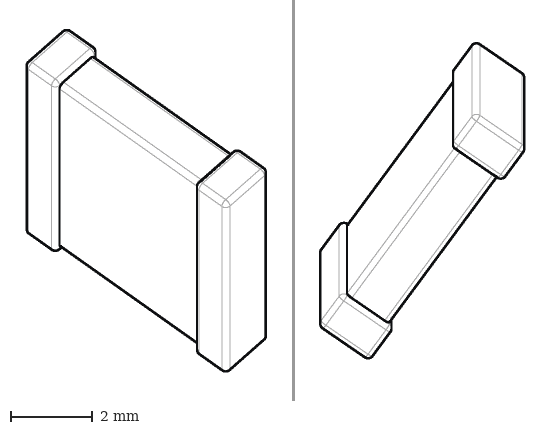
import cadquery as cq

overall_length = 6.65
overall_thickness = 1.55
overall_height = 6.8

terminal_length = 1.04
edge_radius = 0.14

body_setback = 0.14
body_length = overall_length - 2 * terminal_length
body_thickness = overall_thickness - 2 * body_setback
body_height = overall_height - 2 * body_setback


def make_body():
    """Block between the terminals, rounded along its four long edges."""
    block = cq.Workplane("XY").box(body_length, body_thickness, body_height)
    return block.edges("|X").fillet(edge_radius)


def make_terminal(side):
    """End terminal rounded on every edge; side is -1 or +1 along X."""
    center_x = side * (overall_length - terminal_length) / 2
    block = cq.Workplane("XY").box(terminal_length, overall_thickness, overall_height)
    return block.edges().fillet(edge_radius).translate((center_x, 0, 0))


body = make_body()
terminals = [make_terminal(side) for side in (-1, 1)]

result = cq.Compound.makeCompound([body.val(), *[terminal.val() for terminal in terminals]])